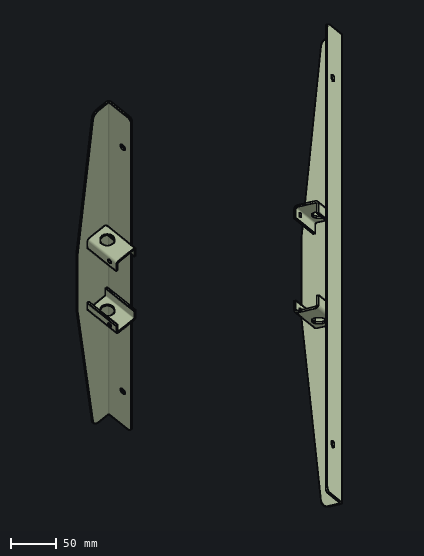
import cadquery as cq

sheet = 2.5

height = 575.0
back_width = 37.0
side_depth = 51.0
bend_radius = 3.75
side_end_depth = 26.0
side_flat_height = 100.0
back_corner_radius = 5.0
side_corner_radius = 9.0
mount_hole_diameter = 7.5
mount_hole_x = 24.0
mount_hole_z = 225.0

bracket_reach = 48.0
bracket_gap = 5.0
bracket_width = 31.0
bracket_height = 15.5
bracket_outer_z = 66.0
bracket_bend_radius = 4.5
web_hole_diameter = 16.0
web_hole_x = 18.5
flange_hole_diameter = 5.0
flange_hole_x = 37.5
flange_hole_drop = 7.5

bracket_center_y = -bracket_gap - bracket_width / 2


def make_angle():
    """Full-height L section with the rounded bend along the X=0, Y=0 corner."""
    section = (
        cq.Workplane("XY", origin=(0, 0, -height / 2))
        .polyline([
            (0, 0),
            (back_width, 0),
            (back_width, -sheet),
            (sheet, -sheet),
            (sheet, -side_depth),
            (0, -side_depth),
        ])
        .close()
        .extrude(height)
    )
    inner_bend = cq.selectors.NearestToPointSelector((sheet, -sheet, 0))
    outer_bend = cq.selectors.NearestToPointSelector((0, 0, 0))
    section = section.edges("|Z").edges(outer_bend).fillet(bend_radius)
    return section.edges("|Z").edges(inner_bend).fillet(bend_radius - sheet)


def side_envelope():
    """Side plate outline, deepest around mid-height and tapering to rounded ends."""
    return (
        cq.Workplane("YZ")
        .polyline([
            (0, -height / 2),
            (0, height / 2),
            (-side_end_depth, height / 2),
            (-side_depth, side_flat_height / 2),
            (-side_depth, -side_flat_height / 2),
            (-side_end_depth, -height / 2),
        ])
        .close()
        .extrude(back_width)
        .edges("|X and (>Z or <Z) and (not >Y)")
        .fillet(side_corner_radius)
    )


def back_envelope():
    """Back plate outline with its two free corners rounded."""
    return (
        cq.Workplane("XZ")
        .rect(2 * back_width, height)
        .extrude(side_depth)
        .edges("|Y and >X")
        .fillet(back_corner_radius)
    )


def make_bracket():
    """Upper bracket: web on top, flanges down, a hole in the web and one across both flanges."""
    length = bracket_reach - sheet
    channel_width = bracket_width - 2 * sheet
    channel_height = bracket_height - sheet
    bottom_z = bracket_outer_z - bracket_height
    outer = (
        cq.Workplane("XY", origin=(sheet, 0, bottom_z))
        .box(length, bracket_width, bracket_height, centered=(False, True, False))
        .edges("|X and >Z")
        .fillet(bracket_bend_radius)
    )
    channel = (
        cq.Workplane("XY", origin=(sheet, 0, bottom_z))
        .box(length, channel_width, channel_height, centered=(False, True, False))
        .edges("|X and >Z")
        .fillet(bracket_bend_radius - sheet)
    )
    web_hole = (
        cq.Workplane("XY", origin=(web_hole_x, 0, bottom_z))
        .circle(web_hole_diameter / 2)
        .extrude(bracket_height)
    )
    flange_hole = (
        cq.Workplane("XZ", origin=(flange_hole_x, 0, bracket_outer_z - flange_hole_drop))
        .circle(flange_hole_diameter / 2)
        .extrude(bracket_width)
    )
    bracket = outer.cut(channel).cut(web_hole).cut(flange_hole)
    return bracket.translate((0, bracket_center_y, 0))


mount_holes = (
    cq.Workplane("XZ")
    .pushPoints([(mount_hole_x, mount_hole_z), (mount_hole_x, -mount_hole_z)])
    .circle(mount_hole_diameter / 2)
    .extrude(sheet)
)
angle = make_angle().intersect(side_envelope()).intersect(back_envelope()).cut(mount_holes)
upper_bracket = make_bracket()
lower_bracket = upper_bracket.mirror("XY")

result = angle.union(upper_bracket).union(lower_bracket)